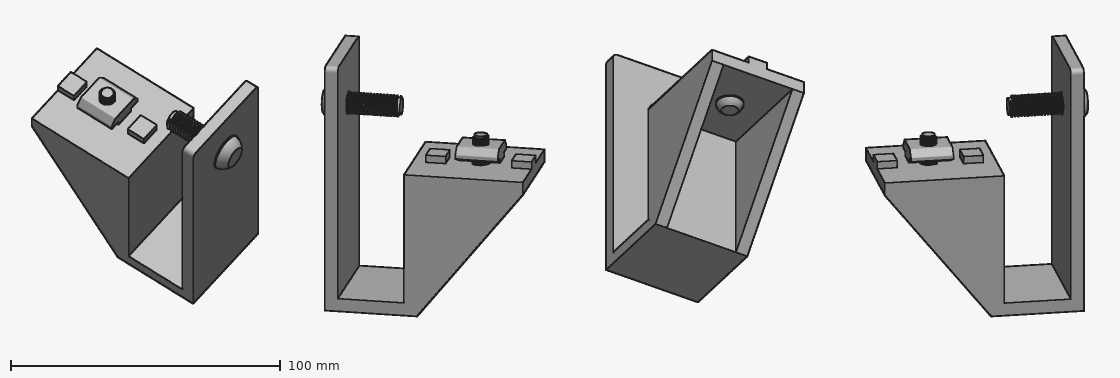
import cadquery as cq
import math

WIDTH = 40.0
LENGTH = 75.0
HEIGHT = 95.0
WALL = 5.0
SEAT_LENGTH = 45.0
SEAT_HEIGHT = 55.0
CORNER_RADIUS = 2.0
SEAT_UNDERSIDE = SEAT_HEIGHT - WALL
PLATE_INNER_X = LENGTH - WALL
WEB_INNER_X = SEAT_LENGTH - WALL

TAB_LENGTH = 7.5
TAB_WIDTH = 8.0
TAB_HEIGHT = 2.8
TAB_STARTS = (0.0, WEB_INNER_X - TAB_LENGTH)

SEAT_SCREW_X = WEB_INNER_X / 2
PLATE_SCREW_Z = 75.0
SEAT_HOLE_DIAMETER = 6.5
PLATE_HOLE_DIAMETER = 8.5

SEAT_SCREW = dict(diameter=6.0, pitch=1.0, length=16.0,
                  head_diameter=10.5, head_height=3.3, face_diameter=6.4)
PLATE_SCREW = dict(diameter=8.0, pitch=1.25, length=25.0,
                   head_diameter=14.0, head_height=4.4, face_diameter=8.4)
HEAD_RIM = 0.5

THREAD_DEPTH_PER_PITCH = 0.6134
CREST_PER_PITCH = 0.125
FOOT_PER_PITCH = 0.95
FOOT_SINK = 0.15
THREAD_END_GAP = 0.1

NUT_LENGTH = 16.0
NUT_WIDTH = 16.0
NUT_BOTTOM = SEAT_HEIGHT + 1.5
NUT_HEIGHT = 6.0
NUT_NECK_HEIGHT = 1.8
NUT_NECK_WIDTH = TAB_WIDTH
NUT_BEVEL_WIDTH = 2.4
NUT_BEVEL_HEIGHT = 2.6
NUT_EDGE_RADIUS = 0.3


def make_bracket():
    """Wedge-shaped seat and upright plate joined by a floor, hollowed from the sloped side."""
    outline = [
        (0, SEAT_HEIGHT),
        (SEAT_LENGTH, SEAT_HEIGHT),
        (SEAT_LENGTH, WALL),
        (PLATE_INNER_X, WALL),
        (PLATE_INNER_X, HEIGHT),
        (LENGTH, HEIGHT),
        (LENGTH, 0),
        (WEB_INNER_X, 0),
        (0, SEAT_UNDERSIDE),
    ]
    body = cq.Workplane("XZ").polyline(outline).close().extrude(WIDTH / 2, both=True)
    body = body.faces(">Z").edges("|X").fillet(CORNER_RADIUS)

    hollow = cq.Workplane("XY").box(
        WEB_INNER_X, WIDTH - 2 * WALL, SEAT_UNDERSIDE, centered=(False, True, False)
    )
    body = body.cut(hollow)

    for start in TAB_STARTS:
        tab = cq.Workplane("XY").box(TAB_LENGTH, TAB_WIDTH, TAB_HEIGHT, centered=(False, True, False))
        body = body.union(tab.translate((start, 0, SEAT_HEIGHT)))

    seat_hole = (
        cq.Workplane("XY", origin=(SEAT_SCREW_X, 0, SEAT_UNDERSIDE))
        .circle(SEAT_HOLE_DIAMETER / 2)
        .extrude(WALL)
    )
    plate_hole = (
        cq.Workplane("YZ", origin=(PLATE_INNER_X, 0, PLATE_SCREW_Z))
        .circle(PLATE_HOLE_DIAMETER / 2)
        .extrude(WALL)
    )
    return body.cut(seat_hole).cut(plate_hole)


def make_thread_ridge(core_radius, radius, pitch, length):
    """Closed helical ridge of trapezoidal section, with its foot sunk into the core."""
    half_crest = CREST_PER_PITCH * pitch / 2
    half_foot = FOOT_PER_PITCH * pitch / 2
    foot_radius = core_radius - FOOT_SINK
    section = [
        (foot_radius, -half_foot),
        (radius, -half_crest),
        (radius, half_crest),
        (foot_radius, half_foot),
    ]
    start = half_foot + THREAD_END_GAP
    rise = length - 2 * start
    helices = [
        cq.Wire.makeHelix(pitch, rise, corner_radius).translate(cq.Vector(0, 0, start + offset))
        for corner_radius, offset in section
    ]
    following = helices[1:] + helices[:1]
    sides = [cq.Face.makeRuledSurface(first, second) for first, second in zip(helices, following)]
    outlines = [
        [helix.startPoint() for helix in helices],
        [helix.endPoint() for helix in helices],
    ]
    ends = [cq.Face.makeFromWires(cq.Wire.makePolygon(outline, close=True)) for outline in outlines]
    return cq.Workplane(cq.Solid.makeSolid(cq.Shell.makeShell(sides + ends)))


def make_screw(diameter, pitch, length, head_diameter, head_height, face_diameter):
    """Button-head screw along +Z, with the bearing face of its head at Z = 0."""
    radius = diameter / 2
    core_radius = radius - THREAD_DEPTH_PER_PITCH * pitch
    core = cq.Workplane("XY").circle(core_radius).extrude(length)
    shank = core.union(make_thread_ridge(core_radius, radius, pitch, length))

    rim_radius = head_diameter / 2
    face_radius = face_diameter / 2
    dome_rise = head_height - HEAD_RIM
    centre_depth = (rim_radius**2 - face_radius**2 - dome_rise**2) / (2 * dome_rise)
    dome_radius = math.hypot(rim_radius, centre_depth)
    middle_angle = (
        math.atan2(centre_depth, rim_radius) + math.atan2(centre_depth + dome_rise, face_radius)
    ) / 2
    dome_middle = (
        dome_radius * math.cos(middle_angle),
        centre_depth - HEAD_RIM - dome_radius * math.sin(middle_angle),
    )
    head = (
        cq.Workplane("XZ")
        .lineTo(rim_radius, 0)
        .lineTo(rim_radius, -HEAD_RIM)
        .threePointArc(dome_middle, (face_radius, -head_height))
        .lineTo(0, -head_height)
        .close()
        .revolve(360, (0, 0, 0), (0, 1, 0))
    )
    return head.union(shank)


def make_nut():
    """T-shaped slot nut with bevelled upper sides and rounded edges, bored for the seat screw."""
    half_width = NUT_WIDTH / 2
    half_neck = NUT_NECK_WIDTH / 2
    half_top = half_width - NUT_BEVEL_WIDTH
    bevel_start = NUT_HEIGHT - NUT_BEVEL_HEIGHT
    half_outline = [
        (0, 0),
        (half_neck, 0),
        (half_neck, NUT_NECK_HEIGHT),
        (half_width, NUT_NECK_HEIGHT),
        (half_width, bevel_start),
        (half_top, NUT_HEIGHT),
        (0, NUT_HEIGHT),
    ]
    half = cq.Workplane("YZ").polyline(half_outline).close().extrude(NUT_LENGTH / 2, both=True)
    nut = half.union(half.mirror("XZ"))
    nut = nut.edges("|X and (>Z or <Z or >Y or <Y)").fillet(NUT_EDGE_RADIUS)
    bore = cq.Workplane("XY").circle(SEAT_SCREW["diameter"] / 2).extrude(NUT_HEIGHT)
    return nut.cut(bore).translate((SEAT_SCREW_X, 0, NUT_BOTTOM))


bracket = make_bracket()
nut = make_nut()
seat_screw = make_screw(**SEAT_SCREW).translate((SEAT_SCREW_X, 0, SEAT_UNDERSIDE))
plate_screw = (
    make_screw(**PLATE_SCREW)
    .rotate((0, 0, 0), (0, 1, 0), -90)
    .translate((LENGTH, 0, PLATE_SCREW_Z))
)

bodies = (bracket, nut, seat_screw, plate_screw)
result = cq.Compound.makeCompound([body.solids().val() for body in bodies])